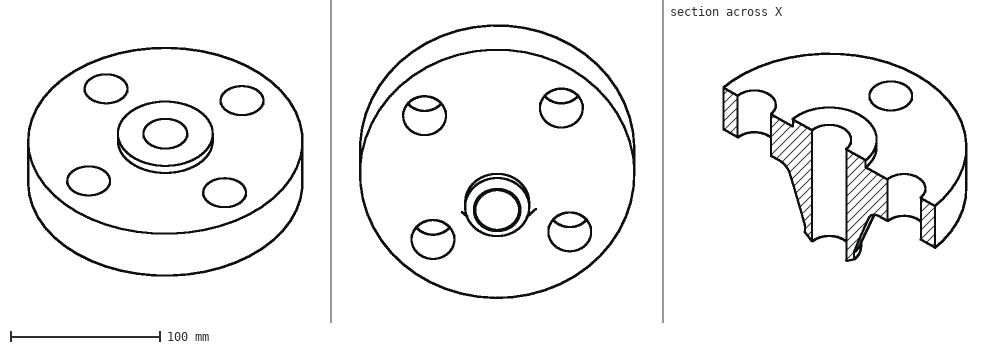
import cadquery as cq
import math

total_height = 101.7
raised_face_height = 6.5
flange_thickness = 38.3
bevel_height = 4.6
weld_end_height = 11.2

flange_radius = 92.0
raised_face_radius = 31.9
neck_top_radius = 34.6
weld_end_radius = 21.5
bevel_tip_radius = 15.7
bore_radius = 14.7
neck_fillet_drop = 6.5

bolt_count = 4
bolt_hole_radius = 14.4
bolt_circle_radius = 65.0

flange_top = total_height - raised_face_height
flange_bottom = flange_top - flange_thickness
neck_top = flange_bottom - neck_fillet_drop

taper = math.atan2(neck_top_radius - weld_end_radius, neck_top - weld_end_height)
fillet_radius = neck_fillet_drop / (1 - math.sin(taper))
fillet_center_x = neck_top_radius + fillet_radius * math.cos(taper)
fillet_center_z = flange_bottom - fillet_radius
mid_angle = (math.pi / 2 + math.pi - taper) / 2
fillet_middle = (
    fillet_center_x + fillet_radius * math.cos(mid_angle),
    fillet_center_z + fillet_radius * math.sin(mid_angle),
)


def turned_body():
    """Revolve the half section of the flange, neck and bore about Z."""
    return (
        cq.Workplane("XZ")
        .moveTo(bore_radius, 0)
        .lineTo(bevel_tip_radius, 0)
        .lineTo(weld_end_radius, bevel_height)
        .lineTo(weld_end_radius, weld_end_height)
        .lineTo(neck_top_radius, neck_top)
        .threePointArc(fillet_middle, (fillet_center_x, flange_bottom))
        .lineTo(flange_radius, flange_bottom)
        .lineTo(flange_radius, flange_top)
        .lineTo(raised_face_radius, flange_top)
        .lineTo(raised_face_radius, total_height)
        .lineTo(bore_radius, total_height)
        .close()
        .revolve(360, (0, 0, 0), (0, 1, 0))
    )


def bolt_holes():
    """Cylinders on the bolt circle that pass through the flange."""
    return (
        cq.Workplane("XY")
        .workplane(offset=flange_bottom)
        .polarArray(bolt_circle_radius, 0, 360, bolt_count)
        .circle(bolt_hole_radius)
        .extrude(flange_thickness)
    )


result = turned_body().cut(bolt_holes())